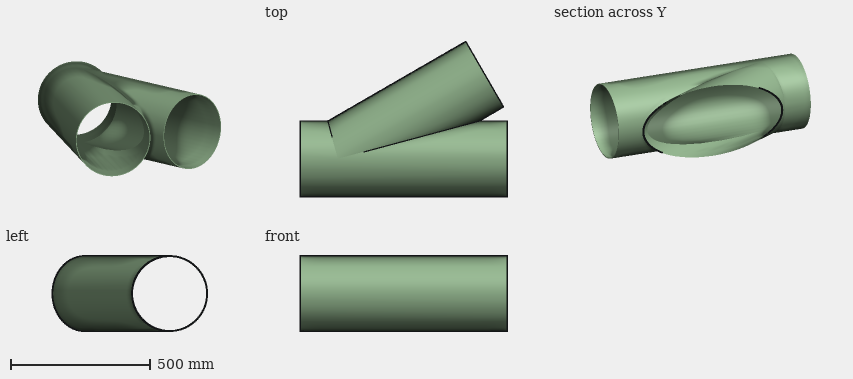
import cadquery as cq

outer_diameter = 273.0
wall = 3.0
run_length = 746.0
branch_angle = 30.0

outer_radius = outer_diameter / 2
bore_radius = outer_radius - wall
junction_x = outer_radius
branch_length = run_length - junction_x


def run_cylinder(radius):
    """Straight cylinder along X, starting at the inlet end."""
    return cq.Workplane("YZ").circle(radius).extrude(run_length)


def branch_cylinder(radius):
    """Cylinder from the junction, turned about Z from +X toward +Y."""
    along_x = cq.Workplane("YZ").circle(radius).extrude(branch_length)
    turned = along_x.rotate((0, 0, 0), (0, 0, 1), branch_angle)
    return turned.translate((junction_x, 0, 0))


def wye(radius):
    """Run and branch of one radius, joined into a single solid."""
    return run_cylinder(radius).union(branch_cylinder(radius))


result = wye(outer_radius).cut(wye(bore_radius))